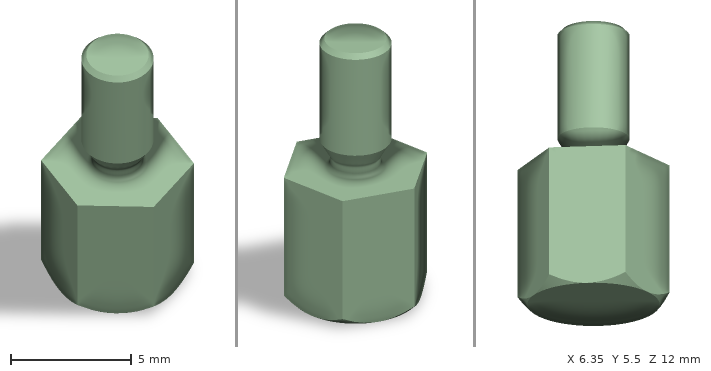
import cadquery as cq
import math

across_flats = 5.5
across_corners = across_flats / math.cos(math.pi / 6)
corner_radius = across_corners / 2
body_height = 6
corner_chamfer = corner_radius - across_flats / 2

total_height = 12
stud_radius = 3 / 2
tip_chamfer = 0.2
neck_radius = 2.14 / 2
neck_fillet = 0.19
cone_top = 7.26
cone_angle = math.radians(30)


def make_body():
    """Hexagonal prism with its lower corners turned off by a cone."""
    prism = cq.Workplane("XY").polygon(6, across_corners).extrude(body_height)
    turned_blank = (
        cq.Workplane("XY")
        .circle(corner_radius)
        .extrude(body_height)
        .faces("<Z")
        .chamfer(corner_chamfer)
    )
    return prism.intersect(turned_blank)


def make_stud():
    """Revolved stud: root fillet, neck, blended cone, shank and chamfered tip."""
    fillet_top = body_height + neck_fillet
    arc_center_radius = neck_radius + neck_fillet
    arc_offset = neck_fillet * math.sqrt(0.5)
    arc_middle = (arc_center_radius - arc_offset, fillet_top - arc_offset)

    cone_bottom_radius = arc_center_radius - neck_fillet * math.cos(cone_angle)
    cone_bottom = cone_top - (stud_radius - cone_bottom_radius) / math.tan(cone_angle)
    neck_top = cone_bottom - neck_fillet * math.sin(cone_angle)
    blend_middle = (
        arc_center_radius - neck_fillet * math.cos(cone_angle / 2),
        neck_top + neck_fillet * math.sin(cone_angle / 2),
    )
    return (
        cq.Workplane("XZ")
        .moveTo(0, body_height)
        .lineTo(arc_center_radius, body_height)
        .threePointArc(arc_middle, (neck_radius, fillet_top))
        .lineTo(neck_radius, neck_top)
        .threePointArc(blend_middle, (cone_bottom_radius, cone_bottom))
        .lineTo(stud_radius, cone_top)
        .lineTo(stud_radius, total_height - tip_chamfer)
        .lineTo(stud_radius - tip_chamfer, total_height)
        .lineTo(0, total_height)
        .close()
        .revolve(360, (0, 0, 0), (0, 1, 0))
    )


result = make_body().union(make_stud())